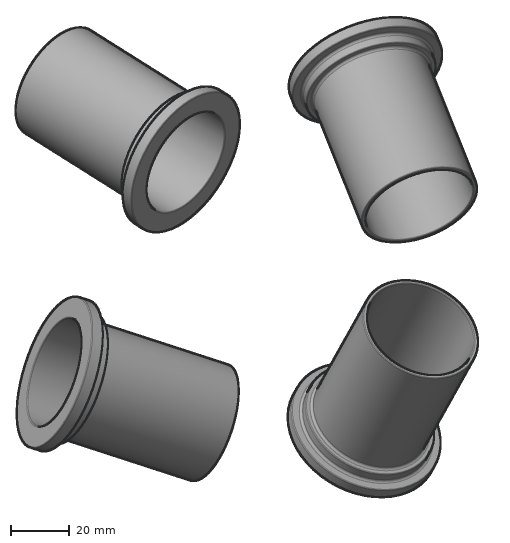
import cadquery as cq

length = 61.0
bore_radius = 39.0 / 2
tube_radius = 42.0 / 2
collar_radius = 47.0 / 2
flange_radius = 54.5 / 2
flange_thickness = 4.4
collar_width = 4.0
root_fillet = 0.9
edge_round = 0.3

tube_start = -length / 2
flange_end = length / 2
flange_start = flange_end - flange_thickness
collar_start = flange_start - collar_width


def cylinder(start, end, radius):
    return cq.Workplane("YZ", origin=(start, 0, 0)).circle(radius).extrude(end - start)


def fillet_circle(body, position, circle_radius, fillet_radius):
    """Fillet the circular edge at an axial position with the given radius."""
    tolerance = 0.005
    reach = circle_radius + tolerance
    edges = body.edges(
        cq.selectors.BoxSelector(
            (position - tolerance, -reach, -reach),
            (position + tolerance, reach, reach),
            boundingbox=True,
        )
    ).edges(cq.selectors.RadiusNthSelector(-1))
    return body.newObject(edges.vals()).fillet(fillet_radius)


body = cylinder(tube_start, flange_end, tube_radius)
body = body.union(cylinder(collar_start, flange_end, collar_radius))
body = body.union(cylinder(flange_start, flange_end, flange_radius))

body = body.cut(cylinder(tube_start, flange_end, bore_radius))

body = fillet_circle(body, collar_start, tube_radius, root_fillet)
body = fillet_circle(body, flange_start, collar_radius, root_fillet)

for position, radius in (
    (tube_start, tube_radius),
    (collar_start, collar_radius),
    (flange_start, flange_radius),
    (flange_end, flange_radius),
    (tube_start, bore_radius),
    (flange_end, bore_radius),
):
    body = fillet_circle(body, position, radius, edge_round)

result = body